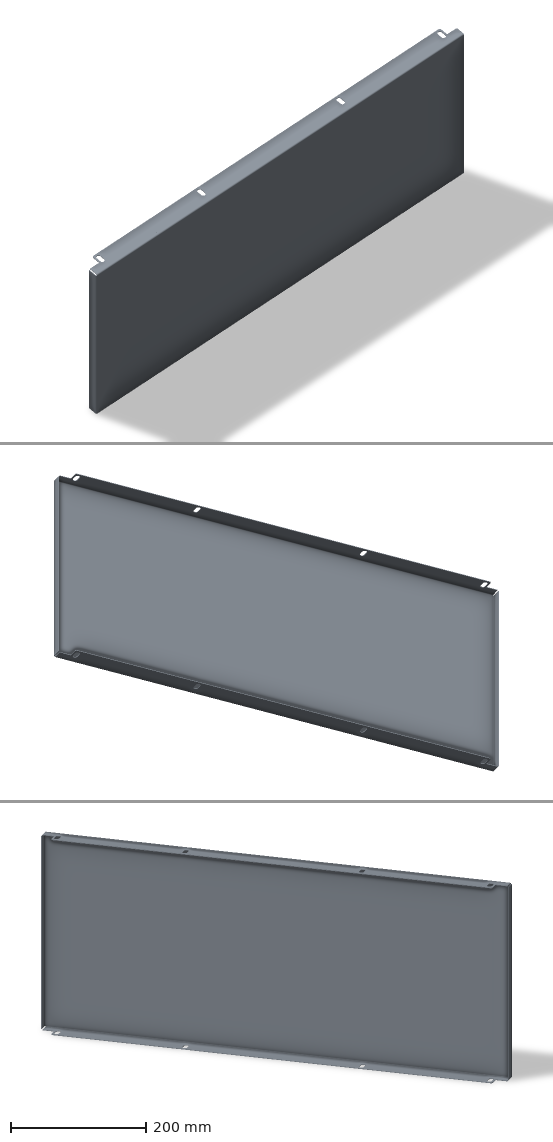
import cadquery as cq

depth = 32.0
length = 729.0
height = 306.0

sheet = 1.0
inner_bend = 1.0
outer_bend = inner_bend + sheet

end_flange_depth = 16.0
tab_setback = 20.5
tab_corner_radius = 3.0

slot_length = 15.0
slot_width = 7.0
slot_edge_distance = 4.0
slot_offsets = (138.0, 337.5)

face_x = depth / 2
free_edge_x = -depth / 2
end_edge_x = face_x - end_flange_depth
flat_length = length - 2 * outer_bend
flat_height = height - 2 * outer_bend
slot_x = free_edge_x + slot_edge_distance + slot_length / 2


def channel(size_y, size_z, bend_axis, edge_x):
    """Panel with flanges on the two sides parallel to bend_axis ("Y" or "Z")."""
    bend_edges = f">X and |{bend_axis}"
    inner_y = size_y if bend_axis == "Y" else size_y - 2 * sheet
    inner_z = size_z if bend_axis == "Z" else size_z - 2 * sheet
    width = face_x - edge_x
    center_x = (face_x + edge_x) / 2

    outer = cq.Workplane("XY").box(width, size_y, size_z).edges(bend_edges).fillet(outer_bend)
    inner = cq.Workplane("XY").box(width, inner_y, inner_z).edges(bend_edges).fillet(inner_bend)
    return outer.cut(inner.translate((-sheet, 0, 0))).translate((center_x, 0, 0))


def flange_outline():
    """Region kept in the long flanges: full length near the panel, set back at the free edge."""
    near_panel = (
        cq.Workplane("XY")
        .box(end_flange_depth, length, height)
        .translate((face_x - end_flange_depth / 2, 0, 0))
    )
    tab = (
        cq.Workplane("XY")
        .box(depth, length - 2 * tab_setback, height)
        .edges("|Z and <X")
        .fillet(tab_corner_radius)
    )
    return near_panel.union(tab)


def slots():
    """Cutters that pass through both long flanges."""
    centres = [(slot_x, side * offset) for offset in slot_offsets for side in (-1, 1)]
    return (
        cq.Workplane("XY")
        .pushPoints(centres)
        .slot2D(slot_length, slot_width)
        .extrude(height, both=True)
    )


long_flanges = channel(flat_length, height, "Y", free_edge_x)
long_flanges = long_flanges.intersect(flange_outline()).cut(slots())
end_flanges = channel(length, flat_height, "Z", end_edge_x)

result = long_flanges.union(end_flanges)